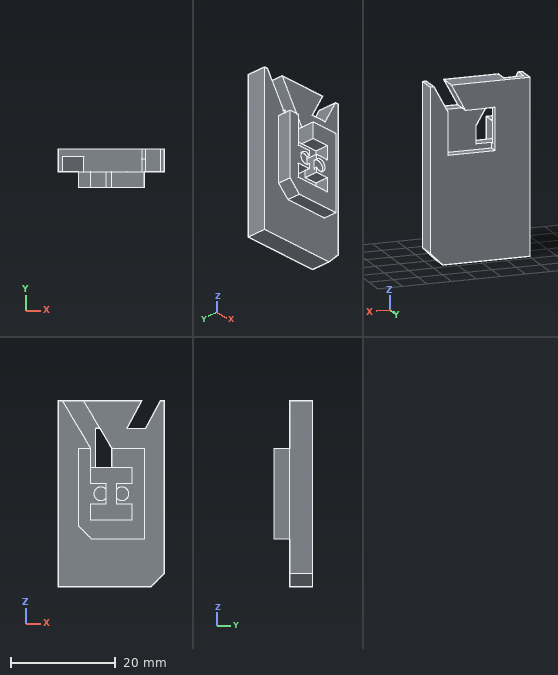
import cadquery as cq

plate_width = 20.3
plate_height = 35.55
total_depth = 7.4
plate_depth = 4.37
corner_chamfer = 2.55

boss_left = 3.88
boss_right = 16.45
boss_bottom = 9.1
boss_top = 26.45

pocket_left = 6.22
pocket_right = 14.1
pocket_bottom = 12.73
pocket_top = plate_height - pocket_bottom
pocket_center_z = (pocket_bottom + pocket_top) / 2
waist_left = 9.17
waist_right = 11.15
waist_height = 3.95

recess_radius = 1.3
recess_depth = 0.68
recess_spacing = 4.0

channel_width = 4.02
channel_top_left = 0.82
channel_floor = 1.42

rear_recess_left = 7.15
rear_recess_depth = 1.95
rear_recess_bottom = 21.7

slot_width = 3.52
slot_top_left = 16.0
slot_bottom_left = 13.15
slot_bottom = 30.25


def prism(points, back, front):
    """Extrude an XZ outline between two distances in front of the back face."""
    return cq.Workplane("XZ", origin=(0, -back, 0)).polyline(points).close().extrude(front - back)


def rectangle(left, right, bottom, top, back, front):
    return prism([(left, bottom), (right, bottom), (right, top), (left, top)], back, front)


plate = prism(
    [
        (0, 0),
        (plate_width - corner_chamfer, 0),
        (plate_width, corner_chamfer),
        (plate_width, plate_height),
        (0, plate_height),
    ],
    0,
    plate_depth,
)
boss = prism(
    [
        (boss_left + corner_chamfer, boss_bottom),
        (boss_right, boss_bottom),
        (boss_right, boss_top),
        (boss_left, boss_top),
        (boss_left, boss_bottom + corner_chamfer),
    ],
    plate_depth,
    total_depth,
)

pocket = rectangle(pocket_left, pocket_right, pocket_bottom, pocket_top, plate_depth, total_depth)
tab_bottom = pocket_center_z - waist_height / 2
tab_top = pocket_center_z + waist_height / 2
for left, right in ((pocket_left, waist_left), (waist_right, pocket_right)):
    pocket = pocket.cut(rectangle(left, right, tab_bottom, tab_top, plate_depth, total_depth))

waist_center = (waist_left + waist_right) / 2
recesses = (
    cq.Workplane("XZ", origin=(waist_center, -total_depth, pocket_center_z))
    .pushPoints([(-recess_spacing / 2, 0), (recess_spacing / 2, 0)])
    .circle(recess_radius)
    .extrude(-recess_depth)
)

channel_right = pocket_left + channel_width
channel_outline = [
    (channel_top_left, plate_height),
    (pocket_left, boss_top),
    (pocket_left, pocket_top),
    (channel_right, pocket_top),
    (channel_right, boss_top),
    (channel_top_left + channel_width, plate_height),
]
channel = prism(channel_outline, channel_floor, total_depth)

slot_bottom_right = slot_bottom_left + slot_width
rear_recess = rectangle(
    rear_recess_left, slot_bottom_right, rear_recess_bottom, slot_bottom, 0, rear_recess_depth
)

slot = prism(
    [
        (slot_bottom_left, slot_bottom),
        (slot_bottom_right, slot_bottom),
        (slot_top_left + slot_width, plate_height),
        (slot_top_left, plate_height),
    ],
    0,
    plate_depth,
)

result = plate.union(boss)
for cutter in (pocket, recesses, channel, rear_recess, slot):
    result = result.cut(cutter)